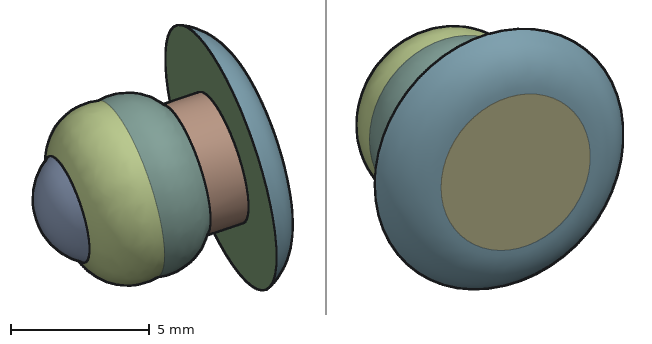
import cadquery as cq
import math

head_height = 1.32
neck_length = 1.49
rear_bulb_length = 2.19
front_bulb_length = 2.37
tip_length = 1.15

head_radius = 5.04
head_flat_radius = 3.02
neck_radius = 2.5
seam_radius = 3.37
tip_base_radius = 2.03

rear_round_radius = 2.12
front_round_radius = 2.02

neck_end = -neck_length
seam = neck_end - rear_bulb_length
bulb_end = seam - front_bulb_length
tip_end = bulb_end - tip_length


def head_round_middle():
    """Midpoint of the head arc, which is tangent to the flat top."""
    overhang = head_radius - head_flat_radius
    radius = (overhang**2 + head_height**2) / (2 * head_height)
    half_angle = math.asin(overhang / radius) / 2
    return (
        head_flat_radius + radius * math.sin(half_angle),
        head_height - radius * (1 - math.cos(half_angle)),
    )


def bulb_middle(start, end, radius):
    """Midpoint of an outward arc of the given radius between two profile points."""
    chord_x = end[0] - start[0]
    chord_y = end[1] - start[1]
    chord = math.hypot(chord_x, chord_y)
    sagitta = radius - math.sqrt(radius**2 - (chord / 2) ** 2)
    return (
        (start[0] + end[0]) / 2 - sagitta * chord_y / chord,
        (start[1] + end[1]) / 2 + sagitta * chord_x / chord,
    )


def tip_middle():
    """Midpoint of the spherical tip arc, which ends on the axis."""
    radius = (tip_base_radius**2 + tip_length**2) / (2 * tip_length)
    half_angle = math.asin(tip_base_radius / radius) / 2
    return (
        radius * math.sin(half_angle),
        tip_end + radius * (1 - math.cos(half_angle)),
    )


neck_corner = (neck_radius, neck_end)
seam_corner = (seam_radius, seam)
tip_corner = (tip_base_radius, bulb_end)

profile = (
    cq.Workplane("XY")
    .moveTo(0, head_height)
    .lineTo(head_flat_radius, head_height)
    .threePointArc(head_round_middle(), (head_radius, 0))
    .lineTo(neck_radius, 0)
    .lineTo(*neck_corner)
    .threePointArc(bulb_middle(neck_corner, seam_corner, rear_round_radius), seam_corner)
    .threePointArc(bulb_middle(seam_corner, tip_corner, front_round_radius), tip_corner)
    .threePointArc(tip_middle(), (0, tip_end))
    .close()
)

result = profile.revolve(360, (0, 0, 0), (0, 1, 0))